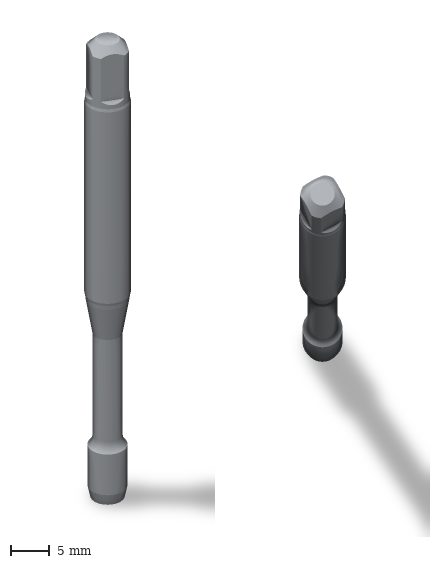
import cadquery as cq

total_length = 70.0

head_radius = 5.2 / 2
head_tip_radius = 4.5 / 2
head_lead_length = 1.7
head_shoulder_z = 7.9

neck_radius = 3.9 / 2
flare_top_z = 9.4
neck_top_z = 25.05

shank_radius = 6.0 / 2
bevel_radius = 5.8 / 2
bevel_length = 0.4
shank_bottom_z = 31.3
shank_top_z = 60.6

taper_top_radius = 5.7 / 2
taper_top_z = 30.25

drive_radius = bevel_radius
drive_tip_radius = 3.15 / 2
drive_width = 4.9
flat_bottom_z = 62.1

flare_length = flare_top_z - head_shoulder_z
flare_width = head_radius - neck_radius
flare_radius = (flare_length**2 + flare_width**2) / (2 * flare_width)


def flare_point(drop):
    """Point on the flare arc at a distance below the flare top."""
    offset = flare_radius - (flare_radius**2 - drop**2) ** 0.5
    return (neck_radius + offset, flare_top_z - drop)


def revolve_about_z(outline):
    """Revolve a closed radius-height outline about the Z axis."""
    return outline.revolve(360, (0, 0, 0), (0, 1, 0))


def make_head():
    """Threading head with its tapered lead, flare and slender neck."""
    outline = (
        cq.Workplane("XZ")
        .lineTo(head_tip_radius, 0)
        .lineTo(head_radius, head_lead_length)
        .lineTo(head_radius, head_shoulder_z)
        .threePointArc(flare_point(flare_length / 2), (neck_radius, flare_top_z))
        .lineTo(neck_radius, neck_top_z)
        .lineTo(0, neck_top_z)
        .close()
    )
    return revolve_about_z(outline)


def make_shank_blank():
    """Round shank with the taper below it and the round drive end above it."""
    drive_bevel = drive_radius - drive_tip_radius
    outline = (
        cq.Workplane("XZ")
        .moveTo(0, neck_top_z)
        .lineTo(neck_radius, neck_top_z)
        .lineTo(taper_top_radius, taper_top_z)
        .lineTo(bevel_radius, shank_bottom_z - bevel_length)
        .lineTo(shank_radius, shank_bottom_z)
        .lineTo(shank_radius, shank_top_z)
        .lineTo(bevel_radius, shank_top_z + bevel_length)
        .lineTo(drive_radius, total_length - drive_bevel)
        .lineTo(drive_tip_radius, total_length)
        .lineTo(0, total_length)
        .close()
    )
    return revolve_about_z(outline)


def make_flat_cutter():
    """Cutter for one drive flat, with a 45 degree run-out at its lower end."""
    inner = drive_width / 2
    outer = shank_radius
    run_out = outer - inner
    return (
        cq.Workplane("XZ")
        .moveTo(inner, flat_bottom_z)
        .lineTo(outer, flat_bottom_z - run_out)
        .lineTo(outer, total_length)
        .lineTo(inner, total_length)
        .close()
        .extrude(shank_radius, both=True)
    )


def make_shank():
    """Shank with four flats that form the square drive."""
    shank = make_shank_blank()
    flat_count = 4
    for index in range(flat_count):
        angle = index * 360 / flat_count
        shank = shank.cut(make_flat_cutter().rotate((0, 0, 0), (0, 0, 1), angle))
    return shank


head = make_head()
shank = make_shank()

result = cq.Compound.makeCompound([head.val(), shank.val()])